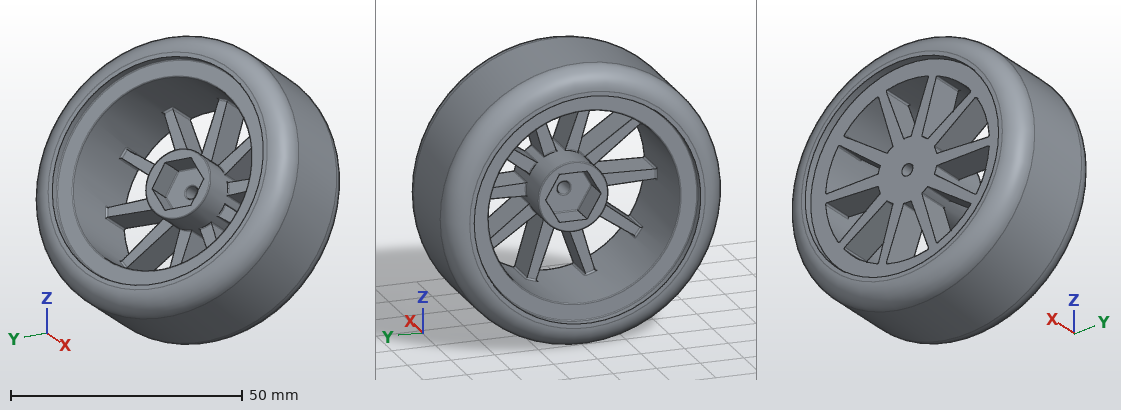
import cadquery as cq
import math


TIRE_RADIUS = 32.0
TIRE_WIDTH = 27.0
SHOULDER_RADIUS = 5.0

RECESS_RADIUS = 26.0
RECESS_DEPTH = 2.0
BORE_RADIUS = 22.0

HUB_RADIUS = 8.0
HUB_LENGTH = 16.0
HEX_ACROSS_FLATS = 11.0
HEX_DEPTH = 6.0
AXLE_HOLE_RADIUS = 1.5

SPOKE_COUNT = 10
SPOKE_DEPTH = 8.0
SPOKE_ROOT_WIDTH = 3.0
SPOKE_TIP_WIDTH = 2.2

EDGE_ROUND = 0.2
SPOKE_TIP_ROUND = 0.4

TOLERANCE = 0.005

SPOKE_OVERLAP = 0.65

TIRE_FRONT = -TIRE_WIDTH / 2
RIM_FRONT = TIRE_FRONT + RECESS_DEPTH
RIM_BACK = -RIM_FRONT
HUB_FRONT = RIM_BACK - HUB_LENGTH
HEX_FLOOR = HUB_FRONT + HEX_DEPTH
SPOKE_FRONT = RIM_BACK - SPOKE_DEPTH


def axle_plane(x):
    """Sketch plane across the axle at x, with its normal along +X."""
    return cq.Workplane("YZ", origin=(x, 0, 0))


def tire_and_rim():
    """Round-shouldered tire with a stepped bore for the recessed rim."""
    tire = axle_plane(TIRE_FRONT).circle(TIRE_RADIUS).extrude(TIRE_WIDTH)
    tire = tire.edges().fillet(SHOULDER_RADIUS)
    for face in (TIRE_FRONT, RIM_BACK):
        tire = tire.cut(axle_plane(face).circle(RECESS_RADIUS).extrude(RECESS_DEPTH))
    return tire.cut(axle_plane(TIRE_FRONT).circle(BORE_RADIUS).extrude(TIRE_WIDTH))


def spoke(angle):
    """One spoke tapering towards the rim, its ends buried in hub and rim."""
    taper = (SPOKE_ROOT_WIDTH - SPOKE_TIP_WIDTH) / (BORE_RADIUS - HUB_RADIUS)
    inner = HUB_RADIUS - SPOKE_OVERLAP
    outer = BORE_RADIUS + SPOKE_OVERLAP
    half_inner = (SPOKE_ROOT_WIDTH + taper * SPOKE_OVERLAP) / 2
    half_outer = (SPOKE_TIP_WIDTH - taper * SPOKE_OVERLAP) / 2
    outline = [(inner, -half_inner), (outer, -half_outer), (outer, half_outer), (inner, half_inner)]
    blank = axle_plane(SPOKE_FRONT).polyline(outline).close().extrude(SPOKE_DEPTH)
    return blank.rotate((0, 0, 0), (1, 0, 0), angle)


def hex_pocket():
    """Hexagonal nut pocket with two corners towards +Y and -Y and a rounded floor edge."""
    across_corners = HEX_ACROSS_FLATS / math.cos(math.pi / 6)
    pocket = axle_plane(HUB_FRONT).polygon(6, across_corners).extrude(HEX_DEPTH)
    return pocket.faces(">X").edges().fillet(EDGE_ROUND)


def circles_at(body, x, radius):
    """Edges of the body lying on the circle of this radius at x."""
    def on_circle(edge):
        mid = edge.positionAt(0.5)
        return (
            edge.geomType() == "CIRCLE"
            and abs(mid.x - x) < TOLERANCE
            and abs(math.hypot(mid.y, mid.z) - radius) < TOLERANCE
        )

    return body.newObject([edge for edge in body.edges().vals() if on_circle(edge)])


def spoke_joints(body, radius):
    """Side and front edges where the spokes meet the cylinder of this radius."""

    def on_joint(edge):
        mid = edge.positionAt(0.5)
        on_cylinder = abs(math.hypot(mid.y, mid.z) - radius) < TOLERANCE
        return on_cylinder and SPOKE_FRONT - TOLERANCE < mid.x < RIM_BACK - TOLERANCE

    return body.newObject([edge for edge in body.edges().vals() if on_joint(edge)])


wheel = tire_and_rim()
wheel = wheel.union(axle_plane(HUB_FRONT).circle(HUB_RADIUS).extrude(HUB_LENGTH))
for index in range(SPOKE_COUNT):
    wheel = wheel.union(spoke(index * 360 / SPOKE_COUNT))
wheel = wheel.cut(hex_pocket())
wheel = wheel.cut(axle_plane(HUB_FRONT).circle(AXLE_HOLE_RADIUS).extrude(HUB_LENGTH))

wheel = spoke_joints(wheel, BORE_RADIUS).fillet(SPOKE_TIP_ROUND)
wheel = spoke_joints(wheel, HUB_RADIUS).fillet(EDGE_ROUND)

for edge_x, edge_radius in (
    (RIM_FRONT, RECESS_RADIUS),
    (RIM_FRONT, BORE_RADIUS),
    (HUB_FRONT, HUB_RADIUS),
    (HEX_FLOOR, AXLE_HOLE_RADIUS),
):
    wheel = circles_at(wheel, edge_x, edge_radius).fillet(EDGE_ROUND)

result = wheel